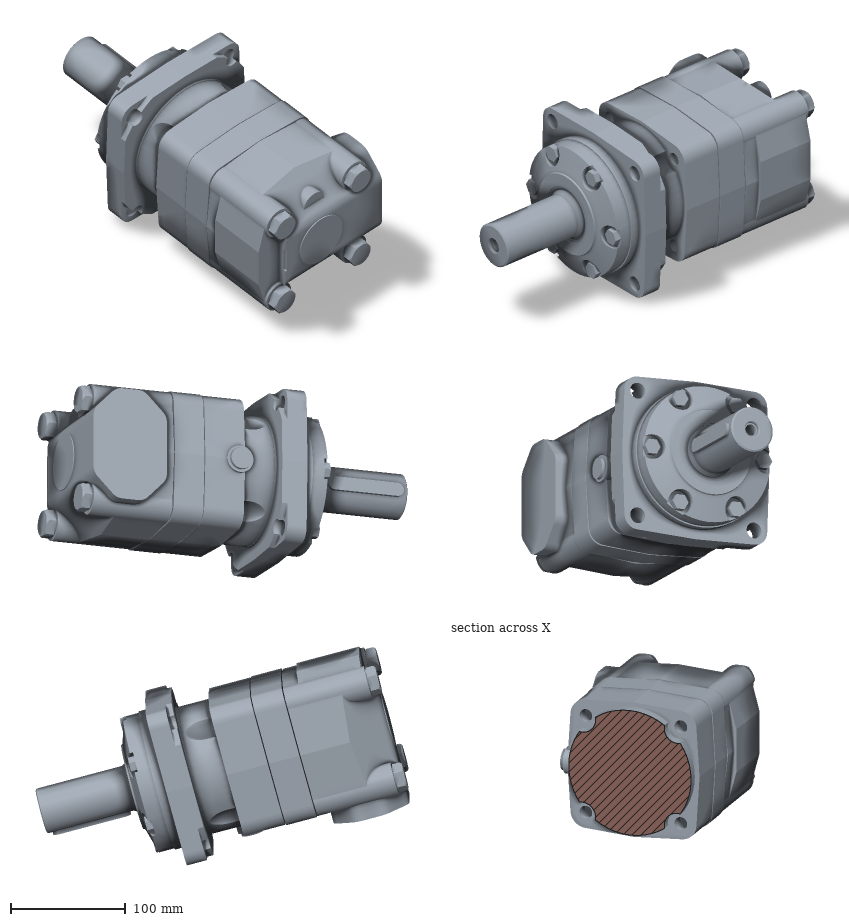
import cadquery as cq
import math


SHOULDER_START = 78.0
COVER_FACE = 82.0
COVER_CONE_START = 83.7
COVER_CONE_END = 90.0
PILOT_START = 104.2
FLANGE_START = 112.8
SHAFT_END = 120.0
CORNER_STEP = 130.8
FLANGE_END = 136.0
COLLAR_END = 138.0
RELIEF_NOSE = 158.0
BLOCK_START = 167.0
BLOCK_END = 204.0
RING_START = 205.0
RING_END = 232.5
END_START = 233.5
PAD_START = 247.5
PAD_END = 303.5
BOSS_END = 306.5
END_FACE = 312.0
DISC_END = 313.0
OVERALL_LENGTH = 316.0

SHAFT_DIAMETER = 40.0
SHOULDER_DIAMETER = 45.0
TIP_CHAMFER_LENGTH = 1.0
TIP_FACE_DIAMETER = 37.3
CENTRE_MOUTH_DIAMETER = 15.0
CENTRE_BORE_DIAMETER = 13.0
CENTRE_BORE_DEPTH = 3.2
CENTRE_HOLE_DIAMETER = 10.0
CENTRE_HOLE_DEPTH = 22.0
DRILL_HALF_ANGLE = 59
KEY_START = 4.7
KEY_LENGTH = 70.0
KEY_WIDTH = 12.0
KEY_TOP = 22.7
KEY_SEAT = 15.8

COVER_FACE_DIAMETER = 75.8
CONE_FRONT_DIAMETER = 77.0
COVER_DIAMETER = 122.0
PILOT_DIAMETER = 124.5
SEAL_DIAMETER = 52.5
SEAL_DEPTH = 1.0
SEAL_LIP_DIAMETER = 48.5
SEAL_LIP_DEPTH = 2.0
SCREW_COUNT = 6
SCREW_CIRCLE_RADIUS = 54.0
SCREW_FLATS = 13.0
SCREW_SEAT_DIAMETER = 22.0
SCREW_SEAT = 93.0
SCREW_TOP = 87.2

FLANGE_HALF = 71.0
FLANGE_CORNER = 68.5
FLANGE_CORNER_RADIUS = 12.5
FLANGE_HOLE_DIAMETER = 14.2
FLANGE_HOLE_OFFSET = 56.2
FLANGE_BACK_DIAMETER = 158.5
COLLAR_DIAMETER = 115.5
NECK_DIAMETER = 114.5
RELIEF_DIAMETER = 24.0
RELIEF_NOSE_RADIUS = 25.3

BLOCK_HALF = 61.5
BLOCK_CORNER = 57.8
RING_HALF = 62.0
RING_CORNER = 58.5
END_HALF = 62.5
END_CORNER = 57.0
BOSS_DIAMETER = 28.7
BOLT_OFFSET = 44.2

PLUG_X = 172.2
PLUG_COLLAR_DIAMETER = 24.0
PLUG_COLLAR_TOP = 63.5
PLUG_HEAD_DIAMETER = 19.0
PLUG_TOP = 66.5
PLUG_ROOT_DIAMETER = 88.5

BEVEL_START = 278.0
BEVEL_EDGE_RADIUS = 13.0
REAR_CORE_HALF_WIDTH = 41.0
PORT_HALF_LENGTH = END_FACE - BEVEL_START
PORT_HALF_HEIGHT = 50.0
PORT_FACE = 72.0
PORT_ROOT = 31.5
PAD_FACE = 65.0
PAD_EDGE = 58.5
PAD_ROOT = 31.5
PAD_FLAT_HALF = 19.5
PAD_HALF = 44.2
VALVE_BOSS_DIAMETER = 24.0
VALVE_BOSS_Z = 36.5
VALVE_BOSS_START = 278.0
REAR_DISC_DIAMETER = 50.0
REAR_SLOT_START = 309.3
REAR_SLOT_WIDTH = 24.5
REAR_SLOT_DEPTH = 1.5

BOLT_DIAMETER = 11.7
BOLT_TIP = 180.0
BOLT_FLATS = 22.0
WASHER_FACE = 1.0
HEAD_CHAMFER_HEIGHT = 2.0

BOLT_POSITIONS = [(y, z) for y in (-BOLT_OFFSET, BOLT_OFFSET) for z in (-BOLT_OFFSET, BOLT_OFFSET)]
FLANGE_HOLE_POSITIONS = [
    (y, z)
    for y in (-FLANGE_HOLE_OFFSET, FLANGE_HOLE_OFFSET)
    for z in (-FLANGE_HOLE_OFFSET, FLANGE_HOLE_OFFSET)
]
SCREW_POSITIONS = [
    (
        SCREW_CIRCLE_RADIUS * math.cos(math.radians(i * 360 / SCREW_COUNT)),
        SCREW_CIRCLE_RADIUS * math.sin(math.radians(i * 360 / SCREW_COUNT)),
    )
    for i in range(SCREW_COUNT)
]


def cylinders(start, end, diameter, positions=((0, 0),)):
    """Cylinders along X at the given (Y, Z) positions."""
    plane = cq.Workplane("YZ", origin=(start, 0, 0))
    return plane.pushPoints(list(positions)).circle(diameter / 2).extrude(end - start)


def hexagons(start, end, across_flats, positions):
    """Hexagonal prisms along X, with two flats facing up and down."""
    across_corners = across_flats / math.cos(math.pi / 6)
    plane = cq.Workplane("YZ", origin=(start, 0, 0))
    return plane.pushPoints(list(positions)).polygon(6, across_corners).extrude(end - start)


def bulged_square(start, end, half, corner, corner_radius):
    """Square prism along X whose sides rise slightly towards their middles, with rounded corners."""
    outline = [
        (half, 0), (corner, corner), (0, half), (-corner, corner),
        (-half, 0), (-corner, -corner), (0, -half), (corner, -corner),
    ]
    prism = cq.Workplane("YZ", origin=(start, 0, 0)).polyline(outline).close().extrude(end - start)
    long_edges = prism.edges("|X").vals()
    corner_edges = [e for e in long_edges if min(abs(e.Center().y), abs(e.Center().z)) > corner / 2]
    return prism.newObject(corner_edges).fillet(corner_radius)


def revolved(points):
    """Solid of revolution about X from (X, radius) points; the axis closes the outline."""
    outline = [(points[0][0], 0)] + points
    if points[-1][1] > 0:
        outline.append((points[-1][0], 0))
    return cq.Workplane("XY").polyline(outline).close().revolve(360, (0, 0, 0), (1, 0, 0))


def shaft_envelope():
    return revolved([
        (0, TIP_FACE_DIAMETER / 2),
        (TIP_CHAMFER_LENGTH, SHAFT_DIAMETER / 2),
        (SHOULDER_START, SHAFT_DIAMETER / 2),
        (COVER_FACE, SHOULDER_DIAMETER / 2),
        (SHAFT_END, SHOULDER_DIAMETER / 2),
    ])


def make_shaft():
    key = (
        cq.Workplane("XZ", origin=(KEY_START + KEY_LENGTH / 2, KEY_SEAT, 0))
        .slot2D(KEY_LENGTH, KEY_WIDTH)
        .extrude(KEY_SEAT - KEY_TOP)
    )
    drill_tip = CENTRE_HOLE_DIAMETER / 2 / math.tan(math.radians(DRILL_HALF_ANGLE))
    centre_hole = revolved([
        (0, CENTRE_MOUTH_DIAMETER / 2),
        ((CENTRE_MOUTH_DIAMETER - CENTRE_BORE_DIAMETER) / 2, CENTRE_BORE_DIAMETER / 2),
        (CENTRE_BORE_DEPTH, CENTRE_BORE_DIAMETER / 2),
        (CENTRE_BORE_DEPTH, CENTRE_HOLE_DIAMETER / 2),
        (CENTRE_HOLE_DEPTH, CENTRE_HOLE_DIAMETER / 2),
        (CENTRE_HOLE_DEPTH + drill_tip, 0),
    ])
    return shaft_envelope().union(key).cut(centre_hole)


def neck_relief():
    """Clearance behind one bolt hole: a cylinder with an ogive nose that runs out of the neck."""
    radius = RELIEF_DIAMETER / 2
    nose_length = math.sqrt(2 * RELIEF_NOSE_RADIUS * radius - radius**2)
    half_length = nose_length / 2
    half_drop = RELIEF_NOSE_RADIUS - math.sqrt(RELIEF_NOSE_RADIUS**2 - half_length**2)
    return (
        cq.Workplane("XY")
        .moveTo(BLOCK_START, 0)
        .lineTo(BLOCK_START, radius)
        .lineTo(RELIEF_NOSE, radius)
        .threePointArc((RELIEF_NOSE - half_length, radius - half_drop), (RELIEF_NOSE - nose_length, 0))
        .close()
        .revolve(360, (0, 0, 0), (1, 0, 0))
    )


def drain_plug():
    plane = cq.Workplane("XZ", origin=(PLUG_X, 0, 0))
    collar = plane.circle(PLUG_COLLAR_DIAMETER / 2).extrude(-PLUG_COLLAR_TOP)
    head = plane.circle(PLUG_HEAD_DIAMETER / 2).extrude(-PLUG_TOP)
    clear_of_bore = cylinders(0, OVERALL_LENGTH, PLUG_ROOT_DIAMETER)
    return collar.union(head).cut(clear_of_bore)


def make_housing():
    cover = revolved([
        (COVER_FACE, COVER_FACE_DIAMETER / 2),
        (COVER_CONE_START, CONE_FRONT_DIAMETER / 2),
        (COVER_CONE_END, COVER_DIAMETER / 2),
        (PILOT_START, COVER_DIAMETER / 2),
        (PILOT_START, PILOT_DIAMETER / 2),
        (FLANGE_START, PILOT_DIAMETER / 2),
    ])
    cover = cover.cut(cylinders(COVER_FACE, SCREW_SEAT, SCREW_SEAT_DIAMETER, SCREW_POSITIONS))
    cover = cover.union(hexagons(SCREW_TOP, SCREW_SEAT, SCREW_FLATS, SCREW_POSITIONS))
    cover = cover.cut(cylinders(COVER_FACE, COVER_FACE + SEAL_DEPTH, SEAL_DIAMETER))
    cover = cover.cut(cylinders(COVER_FACE, COVER_FACE + SEAL_LIP_DEPTH, SEAL_LIP_DIAMETER))

    flange = bulged_square(FLANGE_START, FLANGE_END, FLANGE_HALF, FLANGE_CORNER, FLANGE_CORNER_RADIUS)
    flange = flange.cut(cylinders(FLANGE_START, FLANGE_END, FLANGE_HOLE_DIAMETER, FLANGE_HOLE_POSITIONS))
    flange = flange.intersect(
        cylinders(FLANGE_START, CORNER_STEP, 2 * FLANGE_BACK_DIAMETER)
        .union(cylinders(CORNER_STEP, FLANGE_END, FLANGE_BACK_DIAMETER))
    )

    neck = cylinders(CORNER_STEP, COLLAR_END, COLLAR_DIAMETER)
    neck = neck.union(cylinders(COLLAR_END, BLOCK_START, NECK_DIAMETER))
    for y, z in BOLT_POSITIONS:
        neck = neck.cut(neck_relief().translate((0, y, z)))

    block = bulged_square(BLOCK_START, BLOCK_END, BLOCK_HALF, BLOCK_CORNER, BOSS_DIAMETER / 2)
    block = block.cut(cylinders(BLOCK_START, BLOCK_END, BOLT_DIAMETER, BOLT_POSITIONS))

    housing = cover.union(flange).union(neck).union(block).union(drain_plug())
    return housing.cut(shaft_envelope())


def make_gear_ring():
    ring = bulged_square(RING_START, RING_END, RING_HALF, RING_CORNER, BOSS_DIAMETER / 2)
    return ring.cut(cylinders(RING_START, RING_END, BOLT_DIAMETER, BOLT_POSITIONS))


def bevelled_rear():
    """Side outline of the end cover across its full width, with 45-degree bevels at the rear."""
    bevel_foot = END_HALF - PORT_HALF_LENGTH
    outline = [
        (END_START, -END_HALF), (BEVEL_START, -END_HALF), (END_FACE, -bevel_foot),
        (END_FACE, bevel_foot), (BEVEL_START, END_HALF), (END_START, END_HALF),
    ]
    prism = cq.Workplane("XZ").polyline(outline).close().extrude(END_HALF, both=True)
    return prism.edges("|Y and >X").fillet(BEVEL_EDGE_RADIUS)


def port_block():
    """Eight-sided port block on the +Y side, with all its edges rounded."""
    bevel_foot = END_HALF - PORT_HALF_LENGTH
    bevel_head = END_HALF - PORT_HALF_HEIGHT
    quarter = [(PORT_HALF_LENGTH, bevel_foot), (bevel_head, PORT_HALF_HEIGHT)]
    upper = quarter + [(-x, z) for x, z in reversed(quarter)]
    outline = upper + [(-x, -z) for x, z in upper]
    block = (
        cq.Workplane("XZ", origin=(BEVEL_START, PORT_ROOT, 0))
        .polyline(outline)
        .close()
        .extrude(PORT_ROOT - PORT_FACE)
    )
    return block.edges("|Y").fillet(BEVEL_EDGE_RADIUS)


def side_pad():
    """Raised pad on the -Y side, with a flat middle and two sloping flanks."""
    outline = [
        (-PAD_ROOT, -PAD_HALF), (-PAD_EDGE, -PAD_HALF), (-PAD_FACE, -PAD_FLAT_HALF),
        (-PAD_FACE, PAD_FLAT_HALF), (-PAD_EDGE, PAD_HALF), (-PAD_ROOT, PAD_HALF),
    ]
    plane = cq.Workplane("YZ", origin=(PAD_START, 0, 0))
    return plane.polyline(outline).close().extrude(PAD_END - PAD_START)


def make_end_cover():
    cover = bulged_square(END_START, END_FACE, END_HALF, END_CORNER, BOSS_DIAMETER / 2)
    cover = cover.intersect(bevelled_rear())
    rear_length = END_FACE - PAD_END
    for side in (-1, 1):
        rear_step = cq.Workplane("XY").box(rear_length, END_HALF, 2 * END_HALF).translate(
            (PAD_END + rear_length / 2, side * (REAR_CORE_HALF_WIDTH + END_HALF / 2), 0)
        )
        cover = cover.cut(rear_step)
    cover = cover.union(side_pad())
    cover = cover.union(port_block())
    valve_boss = cylinders(VALVE_BOSS_START, PAD_END, VALVE_BOSS_DIAMETER, [(0, VALVE_BOSS_Z)])
    cover = cover.union(valve_boss)
    cover = cover.union(cylinders(END_FACE, DISC_END, REAR_DISC_DIAMETER))
    cover = cover.union(cylinders(END_START, BOSS_END, BOSS_DIAMETER, BOLT_POSITIONS))
    rear_slot = (
        cq.Workplane("XY")
        .box(OVERALL_LENGTH - REAR_SLOT_START, 2 * REAR_SLOT_DEPTH, REAR_SLOT_WIDTH)
        .translate(((OVERALL_LENGTH + REAR_SLOT_START) / 2, -REAR_CORE_HALF_WIDTH, 0))
    )
    cover = cover.cut(rear_slot)
    head_clearance = cylinders(BOSS_END, OVERALL_LENGTH, BOSS_DIAMETER, BOLT_POSITIONS)
    cover = cover.cut(head_clearance)
    return cover.cut(cylinders(END_START, BOSS_END, BOLT_DIAMETER, BOLT_POSITIONS))


def make_tie_bolt(position):
    shank = cylinders(BOLT_TIP, BOSS_END, BOLT_DIAMETER, [position])
    washer = cylinders(BOSS_END, BOSS_END + WASHER_FACE, BOLT_FLATS, [position])
    head = hexagons(BOSS_END + WASHER_FACE, OVERALL_LENGTH, BOLT_FLATS, [position])
    corner_radius = BOLT_FLATS / 2 / math.cos(math.pi / 6)
    rounding = revolved([
        (BOSS_END, corner_radius),
        (OVERALL_LENGTH - HEAD_CHAMFER_HEIGHT, corner_radius),
        (OVERALL_LENGTH, BOLT_FLATS / 2),
    ]).translate((0, *position))
    return shank.union(washer).union(head.intersect(rounding))


housing = make_housing()
shaft = make_shaft()
gear_ring = make_gear_ring()
end_cover = make_end_cover()
tie_bolts = [make_tie_bolt(position) for position in BOLT_POSITIONS]

result = cq.Compound.makeCompound([
    housing.val(),
    shaft.val(),
    gear_ring.val(),
    end_cover.val(),
    *[bolt.val() for bolt in tie_bolts],
])